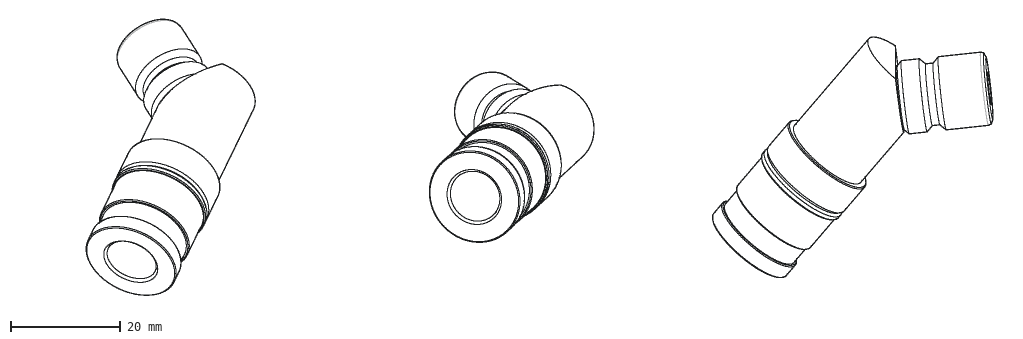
import cadquery as cq


FLANGE_RADIUS = 8.75
FLANGE_LENGTH = 3.1
NECK_RADIUS = 8.25
NECK_END = 7.1
COLLAR_RADIUS = 9.1
COLLAR_START = 14.9
COLLAR_END = 23.1
STEM_RADIUS = 8.0
STEM_END = 45.0
EDGE_CHAMFER = 0.2
GROOVE_CENTRE = 16.35
GROOVE_WIDTH = 1.0
GROOVE_DEPTH = 0.4

BORE_RADIUS = 4.77
BORE_DEPTH = 23.0
BORE_CHAMFER = 0.48
PASSAGE_RADIUS = 3.0
PASSAGE_END = 39.3

SPIGOT_ANGLE = 45.0
AXES_MEET = 36.51
SEAT_DISTANCE = 4.9
SPIGOT_RADIUS = 6.75
SPIGOT_END = 21.37
STUB_LENGTH = 0.2
BASE_CHAMFER = 0.8
SPIGOT_NECK_RADIUS = 5.7
SPIGOT_NECK_START = 10.25
SPIGOT_NECK_END = 11.65
TIP_RADIUS = 5.8
TIP_EDGE_RADIUS = 6.58
TIP_EDGE_SETBACK = 0.36
TIP_TAPER_LENGTH = 0.9


def turned_on_y(profile):
    """Revolve a list of (radius, y) points about the Y axis."""
    return cq.Workplane("XY").polyline(profile).close().revolve(360, (0, 0, 0), (0, 1, 0))


def on_spigot_axis(shape):
    """Move a shape from the Y axis to the spigot axis."""
    return shape.rotate((0, 0, 0), (0, 0, 1), SPIGOT_ANGLE).translate((0, AXES_MEET, 0))


def chamfered_drum(radius, start, end):
    """Cylinder on the Y axis with both rims chamfered."""
    return turned_on_y([
        (0, start),
        (radius - EDGE_CHAMFER, start),
        (radius, start + EDGE_CHAMFER),
        (radius, end - EDGE_CHAMFER),
        (radius - EDGE_CHAMFER, end),
        (0, end),
    ])


def plain_drum(radius, start, end):
    """Cylinder on the Y axis."""
    return turned_on_y([(0, start), (radius, start), (radius, end), (0, end)])


def make_stem():
    """Rear of the body, with its corner cut square to the spigot axis."""
    stem = plain_drum(STEM_RADIUS, COLLAR_START, STEM_END)
    block_size = 2 * STEM_END
    corner = cq.Workplane("XY").box(block_size, block_size, block_size)
    corner = corner.translate((0, SEAT_DISTANCE + block_size / 2, 0))
    return stem.cut(on_spigot_axis(corner))


def make_collar():
    """Widest drum of the body, with a V groove near its front rim."""
    half_width = GROOVE_WIDTH / 2
    groove = turned_on_y([
        (COLLAR_RADIUS, GROOVE_CENTRE - half_width),
        (COLLAR_RADIUS - GROOVE_DEPTH, GROOVE_CENTRE),
        (COLLAR_RADIUS, GROOVE_CENTRE + half_width),
    ])
    return chamfered_drum(COLLAR_RADIUS, COLLAR_START, COLLAR_END).cut(groove)


def make_body():
    """Flange, neck, barrel, collar and stem, front to rear."""
    flange = chamfered_drum(FLANGE_RADIUS, 0, FLANGE_LENGTH)
    neck = plain_drum(NECK_RADIUS, FLANGE_LENGTH / 2, COLLAR_START)
    barrel = chamfered_drum(FLANGE_RADIUS, NECK_END, COLLAR_START + 2 * EDGE_CHAMFER)
    return flange.union(neck).union(barrel).union(make_collar()).union(make_stem())


def make_spigot():
    """Turned spigot with a necked waist and a tapered tip, rooted in the stem."""
    waist_slope = SPIGOT_RADIUS - SPIGOT_NECK_RADIUS
    base_radius = SPIGOT_RADIUS - BASE_CHAMFER
    base_start = SEAT_DISTANCE + STUB_LENGTH
    return on_spigot_axis(turned_on_y([
        (0, SEAT_DISTANCE),
        (base_radius, SEAT_DISTANCE),
        (base_radius, base_start),
        (SPIGOT_RADIUS, base_start + BASE_CHAMFER),
        (SPIGOT_RADIUS, SPIGOT_NECK_START - waist_slope),
        (SPIGOT_NECK_RADIUS, SPIGOT_NECK_START),
        (SPIGOT_NECK_RADIUS, SPIGOT_NECK_END),
        (SPIGOT_RADIUS, SPIGOT_NECK_END + waist_slope),
        (SPIGOT_RADIUS, SPIGOT_END - TIP_TAPER_LENGTH),
        (TIP_EDGE_RADIUS, SPIGOT_END - TIP_EDGE_SETBACK),
        (TIP_RADIUS, SPIGOT_END),
        (0, SPIGOT_END),
    ]))


def make_bores():
    """Front bore, the passage behind it and the passage through the spigot."""
    bore = turned_on_y([
        (0, 0),
        (BORE_RADIUS + BORE_CHAMFER, 0),
        (BORE_RADIUS, BORE_CHAMFER),
        (BORE_RADIUS, BORE_DEPTH),
        (0, BORE_DEPTH),
    ])
    passage = plain_drum(PASSAGE_RADIUS, 0, PASSAGE_END)
    spigot_passage = on_spigot_axis(plain_drum(PASSAGE_RADIUS, 0, SPIGOT_END))
    return bore.union(passage).union(spigot_passage)


result = make_body().union(make_spigot()).cut(make_bores())